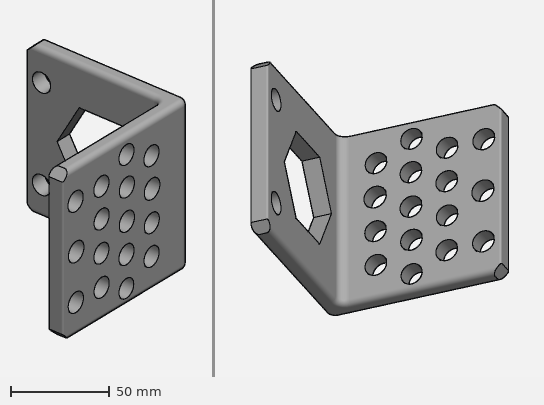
import cadquery as cq

SIZE = 100
HALF = SIZE / 2
THICKNESS = 10
BEND_RADIUS = 5
RIM_RADIUS = 3.2
TIP_RADIUS = 1
TIP_CHAMFER = 5

LEG_REACH = {"XZ": -HALF, "YZ": HALF}

HEX_SIDES = 6
HEX_CORNER_DIAMETER = 58.8
HEX_CENTER = (-0.2, -1.1)

BACK_HOLES = [
    (-40, 29.8, 12),
    (-40, -30.7, 12.1),
]
SIDE_HOLES = [
    (20, 29.5, 12),
    (20.5, 9.7, 12.4),
    (20.3, -10.3, 11.9),
    (20.1, -30.1, 12),
    (0.2, 39.1, 11.9),
    (0.5, 19.7, 12),
    (0.5, -0.5, 12.1),
    (0.2, -20, 12),
    (0.1, -40, 11.7),
    (-19.7, 29.3, 12),
    (-19.5, 9.8, 12),
    (-19.7, -10.3, 11.9),
    (-19.5, -30.6, 12),
    (-40.2, 29.6, 12.1),
    (-39.7, -0.4, 12.3),
    (-40, -30.2, 12.1),
]


def angle_body():
    """L-shaped plate with a rounded bend and rounded top and bottom rims."""
    inner = HALF - THICKNESS
    body = (
        cq.Workplane("XY")
        .workplane(offset=-HALF)
        .moveTo(-HALF, HALF)
        .lineTo(HALF, HALF)
        .lineTo(HALF, -HALF)
        .lineTo(inner, -HALF)
        .lineTo(inner, inner)
        .lineTo(-HALF, inner)
        .close()
        .extrude(SIZE)
    )
    for corner in (inner, HALF):
        body = body.edges(cq.selectors.NearestToPointSelector((corner, corner, 0))).fillet(BEND_RADIUS)
    leg_ends = body.faces("<X or <Y").edges()
    rims = body.faces("<Z or >Z").edges()
    long_rims = rims.filter(lambda edge: not any(edge.isSame(end) for end in leg_ends.vals()))
    return body.newObject(long_rims.vals()).fillet(RIM_RADIUS)


def tip_wedges(plane):
    """Triangular prisms that chamfer the free end of the leg lying along the plane."""
    wedges = cq.Workplane(plane)
    for side in (-1, 1):
        wedges = wedges.polyline([
            (-HALF, side * HALF),
            (-HALF + TIP_CHAMFER, side * HALF),
            (-HALF, side * (HALF - TIP_CHAMFER)),
        ]).close()
    return wedges.extrude(LEG_REACH[plane])


def through_leg(plane, holes):
    """Round cutters reaching from the middle plane through one leg."""
    cutters = cq.Workplane(plane)
    for across, height, diameter in holes:
        cutters = cutters.moveTo(across, height).circle(diameter / 2)
    return cutters.extrude(LEG_REACH[plane])


bracket = angle_body()
for leg_plane in LEG_REACH:
    bracket = bracket.cut(tip_wedges(leg_plane))
bracket = bracket.faces("<X or <Y").edges("|Z").fillet(TIP_RADIUS)

hex_window = (
    cq.Workplane("XZ")
    .center(*HEX_CENTER)
    .polygon(HEX_SIDES, HEX_CORNER_DIAMETER)
    .extrude(LEG_REACH["XZ"])
)
bracket = bracket.cut(hex_window)
bracket = bracket.cut(through_leg("XZ", BACK_HOLES))
result = bracket.cut(through_leg("YZ", SIDE_HOLES))